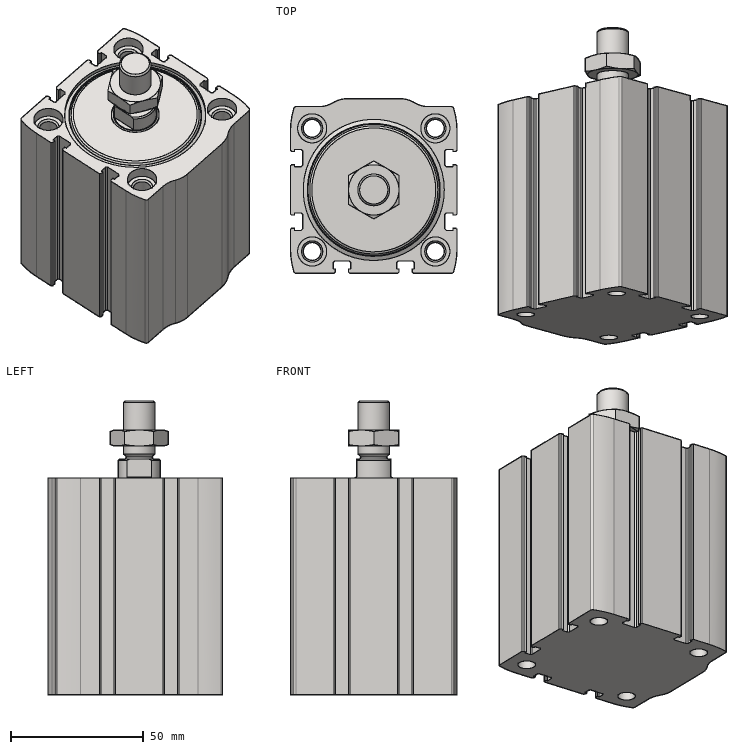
import cadquery as cq
import math

body_width = 63.0
half_width = body_width / 2
body_height = 82.0

pad_height = 3.0
pad_flat_half = 10.0
pad_foot_half = 20.6

bulge_start = 22.25
bulge_lean = 1.5
corner_radius = 1.0

slot_spacing = 24.0
slot_depth = 4.6
slot_width = 6.5
slot_mouth_width = 4.9
slot_lip = 1.65
slot_mouth_chamfer = 0.5
slot_corner_chamfer = 0.5

mount_spacing = 46.5
mount_hole_diameter = 6.65
mount_counterbore_diameter = 11.0
mount_counterbore_depth = 4.4
mount_thread_diameter = 8.0

bore_diameter = 53.3
shoulder_diameter = 50.2
valley_diameter = 49.6
cover_rim_diameter = 48.4
cover_face_diameter = 46.8
cover_rim_depth = 0.4
valley_depth = 1.0
shoulder_top_depth = 0.7
shoulder_fall_angle = 30.0

rod_diameter = 16.0
rod_seat_depth = 20.0
rod_flats_width = 13.0
rod_flats_bottom = body_height + 0.35
rod_flats_runout_angle = 30.0
rod_shoulder = 89.0
rod_edge_chamfer = 0.5
seal_recess_diameter = 18.1
seal_recess_depth = 0.8
seal_lip_diameter = 16.6
neck_diameter = 9.8
neck_flare_diameter = 10.65
neck_flare = 0.8
thread_diameter = 12.0
thread_start = 91.0
thread_end_diameter = 10.65
thread_chamfer = (thread_diameter - thread_end_diameter) / 2
thread_runout = (thread_diameter - neck_diameter) / 2
rod_top = 111.0

nut_sides = 6
nut_across_flats = 19.0
nut_bottom = 94.0
nut_height = 6.0
nut_chamfer_angle = 20.0


def profile():
    """Outline of the housing without its slots."""
    pad_top = half_width + pad_height
    pad_mid = ((pad_flat_half + pad_foot_half) / 2, half_width + pad_height / 2)
    end_x = half_width - bulge_lean
    rise = half_width - bulge_start
    radius = (rise**2 + bulge_lean**2) / (2 * bulge_lean)
    half_angle = math.atan2(bulge_lean, rise)
    sag_x = half_width - radius * (1 - math.cos(half_angle))
    sag_y = bulge_start + radius * math.sin(half_angle)
    return (
        cq.Workplane("XY")
        .moveTo(0, -half_width)
        .lineTo(end_x, -half_width)
        .threePointArc((sag_x, -sag_y), (half_width, -bulge_start))
        .lineTo(half_width, bulge_start)
        .threePointArc((sag_x, sag_y), (end_x, half_width))
        .lineTo(pad_foot_half, half_width)
        .tangentArcPoint(pad_mid, relative=False)
        .tangentArcPoint((pad_flat_half, pad_top), relative=False)
        .lineTo(0, pad_top)
        .mirrorY()
    )


def slot_cutter():
    """One slot in the -Y side, centred on X = 0."""
    mouth = slot_mouth_width / 2
    wide = slot_width / 2
    flared = mouth + slot_mouth_chamfer
    bottom = slot_depth - slot_corner_chamfer
    side = [
        (flared, 0),
        (mouth, slot_mouth_chamfer),
        (mouth, slot_lip),
        (wide, slot_lip),
        (wide, bottom),
        (wide - slot_corner_chamfer, slot_depth),
    ]
    points = side + [(-x, y) for x, y in reversed(side)]
    return (
        cq.Workplane("XY")
        .polyline(points)
        .close()
        .extrude(body_height)
        .translate((0, -half_width, 0))
    )


def make_housing():
    body = profile().extrude(body_height)

    end_x = half_width - bulge_lean
    for x in (-end_x, end_x):
        for y in (-half_width, half_width):
            corner = cq.selectors.NearestToPointSelector((x, y, body_height / 2))
            body = body.edges(corner).fillet(corner_radius)

    for turn in (-90, 0, 90):
        for offset in (-slot_spacing / 2, slot_spacing / 2):
            cutter = slot_cutter().translate((offset, 0, 0))
            body = body.cut(cutter.rotate((0, 0, 0), (0, 0, 1), turn))

    floor = body_height - mount_counterbore_depth
    hole = mount_hole_diameter / 2
    thread = mount_thread_diameter / 2
    counterbore = mount_counterbore_diameter / 2
    cutter = (
        cq.Workplane("XZ")
        .polyline([
            (0, 0),
            (hole, 0),
            (hole, floor - (thread - hole)),
            (thread, floor),
            (counterbore, floor),
            (counterbore, body_height),
            (0, body_height),
        ])
        .close()
        .revolve(360, (0, 0), (0, 1))
    )
    for x in (-mount_spacing / 2, mount_spacing / 2):
        for y in (-mount_spacing / 2, mount_spacing / 2):
            body = body.cut(cutter.translate((x, y, 0)))

    bore = bore_diameter / 2
    shoulder = shoulder_diameter / 2
    shoulder_top = body_height - shoulder_top_depth
    shoulder_fall = (bore - shoulder) * math.tan(math.radians(shoulder_fall_angle))
    ring = (
        cq.Workplane("XZ")
        .polyline([
            (cover_face_diameter / 2, body_height),
            (cover_rim_diameter / 2, body_height - cover_rim_depth),
            (valley_diameter / 2, body_height - valley_depth),
            (shoulder, shoulder_top),
            (bore, shoulder_top - shoulder_fall),
            (bore, body_height),
        ])
        .close()
        .revolve(360, (0, 0), (0, 1))
    )
    body = body.cut(ring)

    seat = (
        cq.Workplane("XY", origin=(0, 0, body_height - rod_seat_depth))
        .circle(rod_diameter / 2)
        .extrude(rod_seat_depth)
    )
    recess = (
        cq.Workplane("XZ")
        .polyline([
            (seal_lip_diameter / 2, body_height),
            (seal_recess_diameter / 2, body_height - seal_recess_depth),
            (seal_recess_diameter / 2, body_height),
        ])
        .close()
        .revolve(360, (0, 0), (0, 1))
    )
    return body.cut(seat).cut(recess)


def make_rod():
    rod_radius = rod_diameter / 2
    neck = neck_diameter / 2
    thread = thread_diameter / 2
    rod_bottom = body_height - rod_seat_depth
    rod = (
        cq.Workplane("XZ")
        .polyline([
            (0, rod_bottom),
            (rod_radius, rod_bottom),
            (rod_radius, rod_shoulder - rod_edge_chamfer),
            (rod_radius - rod_edge_chamfer, rod_shoulder),
            (neck_flare_diameter / 2, rod_shoulder),
            (neck, rod_shoulder + neck_flare),
            (neck, thread_start - thread_runout),
            (thread, thread_start),
            (thread, rod_top - thread_chamfer),
            (thread_end_diameter / 2, rod_top),
            (0, rod_top),
        ])
        .close()
        .revolve(360, (0, 0), (0, 1))
    )
    flat = rod_flats_width / 2
    runout = (rod_radius - flat) * math.tan(math.radians(rod_flats_runout_angle))
    cutter = (
        cq.Workplane("XZ")
        .polyline([
            (flat, rod_shoulder),
            (flat, rod_flats_bottom),
            (rod_radius, rod_flats_bottom - runout),
            (rod_radius, rod_shoulder),
        ])
        .close()
        .extrude(rod_radius, both=True)
    )
    return rod.cut(cutter).cut(cutter.mirror("YZ"))


def make_nut():
    half_sector = 180 / nut_sides
    corner_diameter = nut_across_flats / math.cos(math.radians(half_sector))
    hexagon = (
        cq.Workplane("XY")
        .polygon(nut_sides, corner_diameter)
        .extrude(nut_height)
        .rotate((0, 0, 0), (0, 0, 1), half_sector)
    )
    face = nut_across_flats / 2
    corner = corner_diameter / 2
    drop = (corner - face) * math.tan(math.radians(nut_chamfer_angle))
    envelope = (
        cq.Workplane("XZ")
        .polyline([
            (0, 0),
            (face, 0),
            (corner, drop),
            (corner, nut_height - drop),
            (face, nut_height),
            (0, nut_height),
        ])
        .close()
        .revolve(360, (0, 0), (0, 1))
    )
    bore = cq.Workplane("XY").circle(thread_diameter / 2).extrude(nut_height)
    return hexagon.intersect(envelope).cut(bore).translate((0, 0, nut_bottom))


housing = make_housing()
rod = make_rod()
nut = make_nut()

result = cq.Compound.makeCompound([housing.val(), rod.val(), nut.val()])